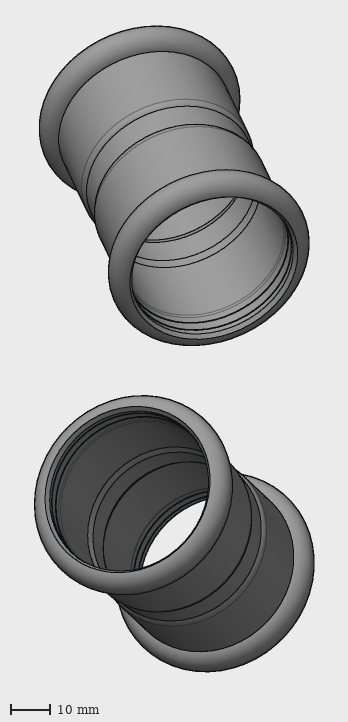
import cadquery as cq
import math

length = 72.0
half_length = length / 2
wall = 1.5

tube_radius = 45.4 / 2
bore_radius = tube_radius - wall

waist_radius = 44.0 / 2
throat_radius = waist_radius - wall
waist_half_width = 3.95
waist_blend = 2.0
shoulder_x = waist_half_width + waist_blend

bead_width = 9.15
bead_outer_radius = 26.35
mouth_radius = 22.2
bead_center_x = half_length - bead_width / 2
bead_inner_x = half_length - bead_width

entry_radius = 42.7 / 2
mouth_x = half_length - 1.2
groove_width = 3.1
groove_radius = 21.5
groove_outer_x = bead_center_x + groove_width / 2
groove_inner_x = bead_center_x - groove_width / 2
lead_in_length = 0.8
lead_in_x = bead_inner_x + lead_in_length


def shoulder_midpoint():
    """Middle of the arc that joins the waist to the tube, tangent to the tube."""
    drop = tube_radius - waist_radius
    arc_radius = (drop**2 + waist_blend**2) / (2 * drop)
    half_angle = math.atan2(waist_blend, arc_radius - drop) / 2
    x = shoulder_x - arc_radius * math.sin(half_angle)
    return x, tube_radius - arc_radius * (1 - math.cos(half_angle))


def mirrored(point):
    """The matching point on the other half of the coupling."""
    x, radius = point
    return -x, radius


waist_end = (waist_half_width, waist_radius)
shoulder_end = (shoulder_x, tube_radius)
tube_end = (bead_inner_x, tube_radius)
bead_inner = (bead_inner_x, mouth_radius)
bead_crest = (bead_center_x, bead_outer_radius)
mouth_edge = (half_length, mouth_radius)

inside_points = [
    mouth_edge,
    (mouth_x, entry_radius),
    (groove_outer_x, entry_radius),
    (groove_outer_x, groove_radius),
    (groove_inner_x, groove_radius),
    (groove_inner_x, entry_radius),
    (lead_in_x, entry_radius),
    (bead_inner_x, bore_radius),
    (shoulder_x, bore_radius),
    (waist_half_width, throat_radius),
]

profile = (
    cq.Workplane("XY")
    .moveTo(*mirrored(waist_end))
    .lineTo(*waist_end)
    .threePointArc(shoulder_midpoint(), shoulder_end)
    .lineTo(*tube_end)
    .lineTo(*bead_inner)
    .threePointArc(bead_crest, mouth_edge)
)
for point in inside_points[1:] + [mirrored(point) for point in reversed(inside_points)]:
    profile = profile.lineTo(*point)
profile = (
    profile.threePointArc(mirrored(bead_crest), mirrored(bead_inner))
    .lineTo(*mirrored(tube_end))
    .lineTo(*mirrored(shoulder_end))
    .threePointArc(mirrored(shoulder_midpoint()), mirrored(waist_end))
    .close()
)

result = profile.revolve(360, (0, 0, 0), (1, 0, 0))